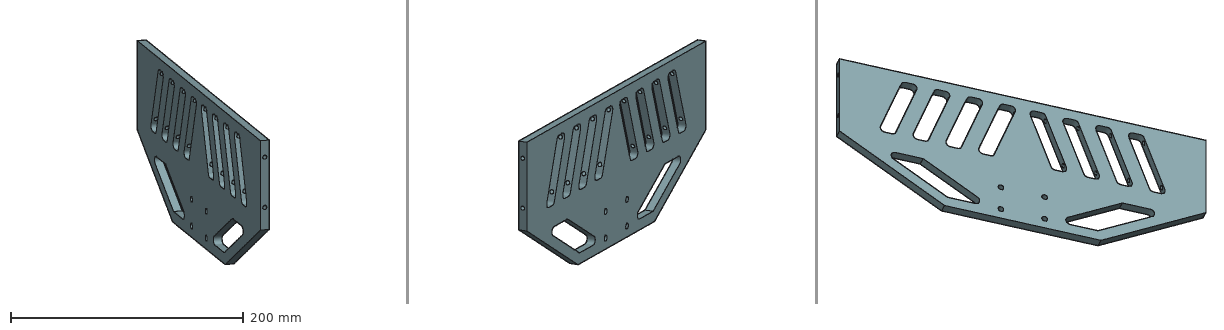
import cadquery as cq
import math

plate_width = 335.0
plate_thickness = 8.0
plate_height = 136.58
side_height = 80.0
bottom_width = 143.1

slots_per_side = 4
slot_pitch = 30.0
slot_height = 60.0
slot_width = 15.0
slot_lean = 20.0
slot_top_margin = 10.0
slot_top_gap_from_center = 5.0
slot_corner_radius = 4.0

window_slope = 30.4
window_floor = 10.0
window_top_below_plate_top = 90.0
window_length = 40.0
window_wall = 10.0
window_corner_radius = 4.0

mount_hole_diameter = 5.0
mount_spacing_x = 40.0
mount_spacing_z = 24.0
mount_lowest_z = 10.0

cross_hole_diameter = 3.5
cross_hole_depths = (15.0, 60.0)

half_width = plate_width / 2
half_bottom = bottom_width / 2
shoulder_z = plate_height - side_height
edge_run_per_rise = (half_width - half_bottom) / shoulder_z
slot_half_shift = slot_height * math.tan(math.radians(slot_lean)) / 2
inner_slot_offset = slot_top_gap_from_center + slot_width / 2 + slot_half_shift


def make_prism(points):
    """Extrude an XZ outline through the plate thickness, from Y = 0 to +Y."""
    return cq.Workplane("XZ").polyline(points).close().extrude(-plate_thickness)


def make_plate():
    return make_prism([
        (-half_bottom, 0),
        (half_bottom, 0),
        (half_width, shoulder_z),
        (half_width, plate_height),
        (-half_width, plate_height),
        (-half_width, shoulder_z),
    ])


def make_slot(center_x):
    """Parallelogram slot whose top leans toward the centre line (left half)."""
    top = plate_height - slot_top_margin
    bottom = top - slot_height
    half_slot = slot_width / 2
    slot = make_prism([
        (center_x - slot_half_shift - half_slot, bottom),
        (center_x - slot_half_shift + half_slot, bottom),
        (center_x + slot_half_shift + half_slot, top),
        (center_x + slot_half_shift - half_slot, top),
    ])
    return slot.edges("|Y").fillet(slot_corner_radius)


def make_window():
    """Parallelogram window of the left half; only its two acute corners are rounded."""
    top = plate_height - window_top_below_plate_top
    slope = math.radians(window_slope)
    run = (top - window_floor) / math.tan(slope)
    edge_x = -half_bottom - window_floor * edge_run_per_rise
    floor_left = edge_x + window_wall / math.sin(slope)
    window = make_prism([
        (floor_left, window_floor),
        (floor_left + window_length, window_floor),
        (floor_left + window_length - run, top),
        (floor_left - run, top),
    ])
    return window.edges("|Y and (<X or >X)").fillet(window_corner_radius)


def cut_both_sides(body, cutter):
    return body.cut(cutter).cut(cutter.mirror("YZ"))


def make_mount_holes():
    middle_z = mount_lowest_z + mount_spacing_z / 2
    return (
        cq.Workplane("XZ", origin=(0, 0, middle_z))
        .rarray(mount_spacing_x, mount_spacing_z, 2, 2)
        .circle(mount_hole_diameter / 2)
        .extrude(-plate_thickness)
    )


def make_cross_hole(depth_below_top):
    start = (-half_width, plate_thickness / 2, plate_height - depth_below_top)
    return cq.Workplane("YZ", origin=start).circle(cross_hole_diameter / 2).extrude(plate_width)


result = make_plate()
for index in range(slots_per_side):
    result = cut_both_sides(result, make_slot(-inner_slot_offset - index * slot_pitch))
result = cut_both_sides(result, make_window())
result = result.cut(make_mount_holes())
for depth in cross_hole_depths:
    result = result.cut(make_cross_hole(depth))